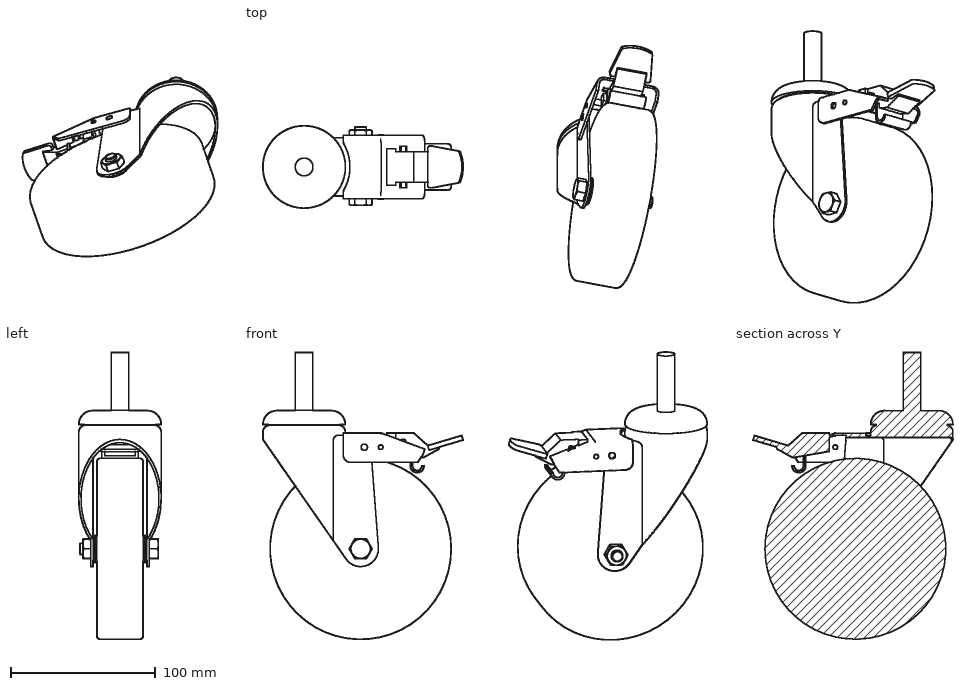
import cadquery as cq
import math

overall_height = 198.0

wheel_radius = 62.5
wheel_half_width = 16.0
wheel_edge_radius = 2.5
wheel_x = 39.0
wheel_z = wheel_radius
spacer_radius = 9.5
spacer_step_radius = 8.0
spacer_length = 1.8
hub_lip_radius = 9.0
hub_lip = 0.5
bolt_flats = 13.7
bolt_corners = bolt_flats / math.cos(math.radians(30))
bolt_corner_rise = 0.5
bolt_corner_inset = 1.2
bolt_head_end = 26.5
nut_end = 25.5
bolt_radius = 4.0
bolt_end = 28.0
bolt_tip_chamfer = 0.5

stem_radius = 6.1
bearing_radius = 28.5
cap_bottom = 148.3
cap_top = 158.0
cap_round = cap_top - cap_bottom
ring_gap = 0.4
ring_top = cap_bottom - ring_gap
ring_round = 4.8
neck_radius = 24.8

fork_thickness = 1.5
fork_half_width = 20.2
fork_top = 140.8
fork_edge_radius = 3.5
fork_front_z = 138.0
fork_back_x = 45.3
lug_radius = 12.3

housing_thickness = 1.8
housing_half_width = fork_half_width + housing_thickness
housing_top = fork_top + housing_thickness
housing_edge_radius = 5.1
housing_front_x = 27.0
housing_front_arc = 31.7
housing_bottom = 122.2
housing_corner_radius = 5.3
housing_bend_x = 53.0
housing_tip = (83.4, 131.3)
housing_tip_low = (81.8, 127.1)
housing_heel_x = 78.5
rivet_z = 132.7
rivet_hole_x = 41.5
rivet_hole_radius = 2.2
stop_pin_x = 52.9
stop_pin_radius = 1.5
stop_pin_half_length = housing_half_width + 0.4

lever_front_x = 57.0
lever_half_width = 10.5
lever_head_half_width = 12.7
lever_head_end_x = 63.4
lever_flat_end_x = 75.6
lever_head_bottom = 129.7
lever_toe_top = (93.3, 132.9)
lever_toe = (93.3, 131.5)
lever_heel = (82.2, 125.3)
pivot_x = 68.5
pivot_z = 136.6
pivot_radius = 1.5
pivot_window_half_length = 2.4
pivot_window_half_width = 14.3
pivot_window_height = 5.1

pedal_start = (85.3, 133.8)
pedal_length = 24.5
pedal_thickness = 3.4
pedal_tilt = 16.5
pedal_root_half_width = 14.8
pedal_tip_half_width = 10.9
pedal_tip_bulge = 2.4
pedal_corner_radius = 1.8

hook_x = 78.0
hook_z = 119.8
hook_radius = 4.8
hook_thickness = 1.5
hook_top = 129.7


def extrude_side_outline(outline, half_width):
    """Extrude an XZ outline equally to both sides of the middle plane."""
    return outline.extrude(half_width, both=True)


def cross_plane(x, z, y_start):
    """Work plane across the part that extrudes toward +Y."""
    return cq.Workplane(cq.Plane((x, y_start, z), (1, 0, 0), (0, 1, 0)))


def cross_cylinder(x, z, radius, y_start, y_end):
    """Cylinder along Y between two Y positions."""
    return cross_plane(x, z, y_start).circle(radius).extrude(y_end - y_start)


def lug_tangent_point(point, side):
    """Point where the line from `point` touches the lug circle; side is +1 or -1."""
    dx = point[0] - wheel_x
    dz = point[1] - wheel_z
    angle = math.atan2(dz, dx) + side * math.acos(lug_radius / math.hypot(dx, dz))
    return wheel_x + lug_radius * math.cos(angle), wheel_z + lug_radius * math.sin(angle)


def make_wheel():
    """Solid wheel with rounded tread edges."""
    wheel = cross_cylinder(wheel_x, wheel_z, wheel_radius, -wheel_half_width, wheel_half_width)
    return wheel.edges().fillet(wheel_edge_radius)


def make_axle():
    """Stepped spacers, bolt head on -Y, nut and bolt end on +Y."""
    spacer_end = wheel_half_width + spacer_length
    fork_inside = fork_half_width - fork_thickness
    axle = cross_cylinder(wheel_x, wheel_z, spacer_radius, -spacer_end, spacer_end)

    lip_end = wheel_half_width + hub_lip
    axle = axle.cut(cross_cylinder(wheel_x, wheel_z, spacer_radius, -lip_end, lip_end))
    axle = axle.union(cross_cylinder(wheel_x, wheel_z, hub_lip_radius, -lip_end, lip_end))
    axle = axle.union(cross_cylinder(wheel_x, wheel_z, spacer_step_radius, -fork_inside, fork_inside))

    hexagon = cross_plane(wheel_x, wheel_z, -bolt_head_end).polygon(6, bolt_corners)
    hexagon = hexagon.extrude(bolt_head_end + nut_end)
    corner_rounding = cross_cylinder(wheel_x, wheel_z, bolt_corners / 2, -bolt_head_end, nut_end)
    hexagon = hexagon.intersect(corner_rounding.edges().chamfer(bolt_corner_rise, bolt_corner_inset))
    hexagon = hexagon.cut(cross_cylinder(wheel_x, wheel_z, bolt_corners, -fork_inside, fork_inside))

    bolt = cross_cylinder(wheel_x, wheel_z, bolt_radius, 0, bolt_end)
    bolt = bolt.faces(">Y").chamfer(bolt_tip_chamfer)
    return axle.union(hexagon).union(bolt)


def make_stem_and_bearing():
    """Revolved stem, domed cap and the rounded ring under it."""
    stem = cq.Workplane("XY").workplane(offset=cap_bottom).circle(stem_radius)
    stem = stem.extrude(overall_height - cap_bottom)
    profile = (
        cq.Workplane("XZ")
        .moveTo(0, cap_bottom)
        .lineTo(bearing_radius, cap_bottom)
        .radiusArc((bearing_radius - cap_round, cap_top), -cap_round)
        .lineTo(0, cap_top)
        .close()
    )
    cap = profile.revolve(360, (0, 0), (0, 1))
    neck = cq.Workplane("XY").workplane(offset=fork_top).circle(neck_radius)
    neck = neck.extrude(cap_bottom - fork_top)
    ring = cq.Workplane("XY").workplane(offset=fork_top).circle(bearing_radius)
    ring = ring.extrude(ring_top - fork_top).faces(">Z").edges().fillet(ring_round)
    return stem.union(cap).union(neck).union(ring)


def fork_envelope(thickness):
    """Round front plus straight back, set in by a wall thickness.

    The back runs past the fork and is trimmed later by the side silhouette.
    """
    half_width = fork_half_width - thickness
    top = fork_top - thickness
    drum = cq.Workplane("XY").circle(bearing_radius - thickness).extrude(top)
    straight = cq.Workplane("XY").box(
        wheel_x + wheel_radius, 2 * half_width, top, centered=(False, True, False)
    )
    straight = straight.edges("|X and >Z").fillet(fork_edge_radius - thickness)
    return drum.union(straight)


def make_fork():
    """Thin-walled fork with a slanted open front, a round axle lug and an open bottom."""
    front = (-bearing_radius, fork_front_z)
    back = (fork_back_x, fork_top)
    outline = (
        cq.Workplane("XZ")
        .moveTo(-bearing_radius, fork_top)
        .lineTo(*front)
        .lineTo(*lug_tangent_point(front, 1))
        .threePointArc((wheel_x, wheel_z - lug_radius), lug_tangent_point(back, -1))
        .lineTo(*back)
        .close()
    )
    silhouette = extrude_side_outline(outline, bearing_radius)
    return silhouette.intersect(fork_envelope(0)).cut(fork_envelope(fork_thickness))


def housing_body(thickness):
    """Solid brake housing with rounded top edges, set in by a wall thickness."""
    top = housing_top - thickness
    tip_z = housing_tip[1] - thickness
    outline = (
        cq.Workplane("XZ")
        .moveTo(housing_front_x, housing_bottom)
        .lineTo(housing_front_x, top)
        .lineTo(housing_bend_x, top)
        .lineTo(housing_tip[0], tip_z)
        .lineTo(*housing_tip_low)
        .lineTo(housing_heel_x, housing_bottom)
        .close()
    )
    body = extrude_side_outline(outline, housing_half_width - thickness)
    slope = cq.Vector(housing_tip[0] - housing_bend_x, 0, tip_z - top)
    flat_edges = cq.selectors.StringSyntaxSelector("|X and >Z")
    sloped_edges = cq.selectors.ParallelDirSelector(slope)
    return body.edges(flat_edges + sloped_edges).fillet(housing_edge_radius - thickness)


def make_housing():
    """Folded channel with a curved front edge and a window for the lever."""
    body = housing_body(0).edges("|Y and <X and <Z").fillet(housing_corner_radius)
    housing = body.cut(housing_body(housing_thickness))
    front_arc = cq.Workplane("XY").circle(housing_front_arc).extrude(overall_height)
    housing = housing.cut(front_arc)
    pivot_window = cq.Workplane("XY", origin=(pivot_x, 0, pivot_z)).box(
        2 * pivot_window_half_length, 2 * pivot_window_half_width, pivot_window_height
    )
    rivet_hole = cross_cylinder(
        rivet_hole_x, rivet_z, rivet_hole_radius, -housing_half_width, housing_half_width
    )
    stop_pin = cross_cylinder(
        stop_pin_x, rivet_z, stop_pin_radius, -stop_pin_half_length, stop_pin_half_length
    )
    return housing.cut(pivot_window).cut(rivet_hole).union(stop_pin)


def make_lever():
    """Lever body with a wider front head, turning on a cross pin."""
    outline = (
        cq.Workplane("XZ")
        .moveTo(lever_front_x, lever_head_bottom)
        .lineTo(lever_front_x, housing_top)
        .lineTo(lever_flat_end_x, housing_top)
        .lineTo(*pedal_start)
        .lineTo(*lever_toe_top)
        .lineTo(*lever_toe)
        .lineTo(*lever_heel)
        .close()
    )
    body = extrude_side_outline(outline, lever_half_width)
    head = cq.Workplane("XY", origin=(lever_front_x, 0, lever_head_bottom)).box(
        lever_head_end_x - lever_front_x,
        2 * lever_head_half_width,
        housing_top - lever_head_bottom,
        centered=(False, True, False),
    )
    pivot = cross_cylinder(
        pivot_x, pivot_z, pivot_radius, -pivot_window_half_width, pivot_window_half_width
    )
    return body.union(head).union(pivot)


def make_pedal():
    """Tilted foot plate that narrows toward a bowed tip."""
    tilt = math.radians(pedal_tilt)
    plane = cq.Plane(
        (pedal_start[0], 0, pedal_start[1]),
        (math.cos(tilt), 0, math.sin(tilt)),
        (-math.sin(tilt), 0, math.cos(tilt)),
    )
    side_length = pedal_length - pedal_tip_bulge
    pedal = (
        cq.Workplane(plane)
        .moveTo(0, -pedal_root_half_width)
        .lineTo(side_length, -pedal_tip_half_width)
        .threePointArc((pedal_length, 0), (side_length, pedal_tip_half_width))
        .lineTo(0, pedal_root_half_width)
        .close()
        .extrude(-pedal_thickness)
    )
    upright = cq.selectors.ParallelDirSelector(plane.zDir)
    return pedal.edges(upright).fillet(pedal_corner_radius)


def make_hook():
    """Bent strip: a straight shank and a half-round curl open at the top."""
    inner_radius = hook_radius - hook_thickness
    outline = (
        cq.Workplane("XZ")
        .moveTo(hook_x - hook_radius, hook_top)
        .lineTo(hook_x - hook_radius, hook_z)
        .threePointArc((hook_x, hook_z - hook_radius), (hook_x + hook_radius, hook_z))
        .lineTo(hook_x + inner_radius, hook_z)
        .threePointArc((hook_x, hook_z - inner_radius), (hook_x - inner_radius, hook_z))
        .lineTo(hook_x - inner_radius, hook_top)
        .close()
    )
    return extrude_side_outline(outline, lever_head_half_width)


result = (
    make_stem_and_bearing()
    .union(make_fork())
    .union(make_wheel())
    .union(make_axle())
    .union(make_housing())
    .union(make_lever())
    .union(make_pedal())
    .union(make_hook())
)